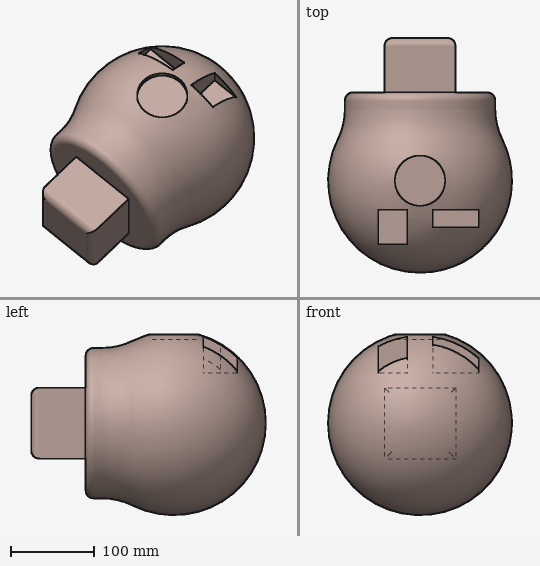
import cadquery as cq
import math

BALL_RADIUS = 110.0

NECK_RADIUS = 90.0
NECK_LENGTH = 20.0
BLEND_RADIUS = 82.5
NECK_RIM_FILLET = 10.0

SHANK_WIDTH = 85.0
SHANK_LENGTH = 65.0
SHANK_END_FILLET = 10.0

CROWN_DIAMETER = 60.0
CROWN_FLOOR_Z = 100.0

POCKET_FLOOR_Z = 60.0
POCKET_BACK_Y = -35.0
NARROW_POCKET_LEFT_X = -50.0
NARROW_POCKET_WIDTH = 35.0
NARROW_POCKET_LENGTH = 41.0
WIDE_POCKET_LEFT_X = 15.0
WIDE_POCKET_WIDTH = 55.0
WIDE_POCKET_LENGTH = 20.5

BLEND_CENTRE_RADIUS = NECK_RADIUS + BLEND_RADIUS
NECK_START_Y = math.sqrt((BALL_RADIUS + BLEND_RADIUS) ** 2 - BLEND_CENTRE_RADIUS ** 2)
NECK_END_Y = NECK_START_Y + NECK_LENGTH


def body_of_revolution():
    """Ball, blend and neck, revolved about the Y axis."""
    centre_angle = math.atan2(NECK_START_Y, BLEND_CENTRE_RADIUS)
    tangent_point = (BALL_RADIUS * math.cos(centre_angle), BALL_RADIUS * math.sin(centre_angle))

    middle_angle = centre_angle / 2
    blend_middle = (
        BLEND_CENTRE_RADIUS - BLEND_RADIUS * math.cos(middle_angle),
        NECK_START_Y - BLEND_RADIUS * math.sin(middle_angle),
    )

    body = (
        cq.Workplane("XY")
        .moveTo(0, -BALL_RADIUS)
        .threePointArc((BALL_RADIUS, 0), tangent_point)
        .threePointArc(blend_middle, (NECK_RADIUS, NECK_START_Y))
        .lineTo(NECK_RADIUS, NECK_END_Y)
        .lineTo(0, NECK_END_Y)
        .close()
        .revolve(360, (0, 0, 0), (0, 1, 0))
    )
    return body.faces(">Y").edges().fillet(NECK_RIM_FILLET)


def shank():
    """Square shank with rounded end edges, standing on the back of the neck."""
    block = cq.Workplane("XY").box(
        SHANK_WIDTH, SHANK_LENGTH, SHANK_WIDTH, centered=(True, False, True)
    )
    return block.faces(">Y").edges().fillet(SHANK_END_FILLET).translate((0, NECK_END_Y, 0))


def crown_recess():
    """Cutter for the flat-bottomed round recess."""
    return (
        cq.Workplane("XY", origin=(0, 0, CROWN_FLOOR_Z))
        .circle(CROWN_DIAMETER / 2)
        .extrude(BALL_RADIUS - CROWN_FLOOR_Z)
    )


def pocket(left_x, width, length):
    """Cutter for a pocket whose back wall lies at POCKET_BACK_Y."""
    return (
        cq.Workplane("XY", origin=(left_x, POCKET_BACK_Y - length, POCKET_FLOOR_Z))
        .rect(width, length, centered=False)
        .extrude(BALL_RADIUS - POCKET_FLOOR_Z)
    )


result = (
    body_of_revolution()
    .union(shank())
    .cut(crown_recess())
    .cut(pocket(NARROW_POCKET_LEFT_X, NARROW_POCKET_WIDTH, NARROW_POCKET_LENGTH))
    .cut(pocket(WIDE_POCKET_LEFT_X, WIDE_POCKET_WIDTH, WIDE_POCKET_LENGTH))
)